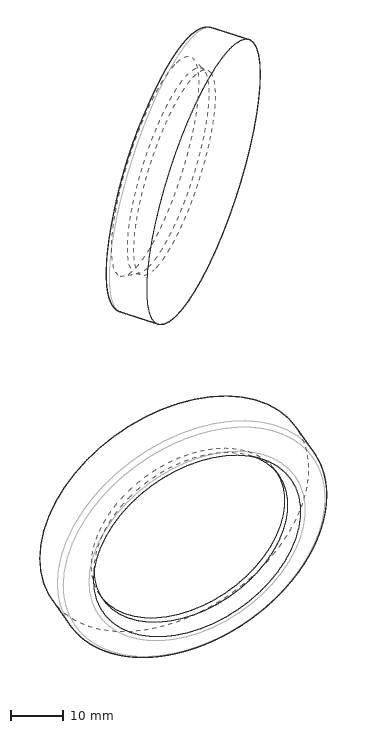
import cadquery as cq
import math

outer_radius = 28.5
thickness = 10.0

flat_rim_radius = 22.9
face_slope_degrees = 15.0
rim_fillet = 1.0
slope_depth = (outer_radius - flat_rim_radius) * math.tan(math.radians(face_slope_degrees))

recess_mouth_radius = 21.95
recess_floor_radius = 20.5
taper_depth = 2.7
recess_depth = 4.0


def make_disc():
    """Revolve the half section about X and round the outer front edge."""
    disc = (
        cq.Workplane("XY")
        .moveTo(0, 0)
        .lineTo(0, flat_rim_radius)
        .lineTo(slope_depth, outer_radius)
        .lineTo(thickness, outer_radius)
        .lineTo(thickness, 0)
        .close()
        .revolve(360, (0, 0, 0), (1, 0, 0))
    )
    rim_edge = cq.selectors.BoxSelector(
        (slope_depth - rim_fillet / 2, -outer_radius, -outer_radius),
        (slope_depth + rim_fillet / 2, outer_radius, outer_radius),
    )
    return disc.edges("%CIRCLE").edges(rim_edge).fillet(rim_fillet)


def make_recess():
    """Revolve the half section of the recess about X."""
    return (
        cq.Workplane("XY")
        .moveTo(0, 0)
        .lineTo(0, recess_mouth_radius)
        .lineTo(taper_depth, recess_floor_radius)
        .lineTo(recess_depth, recess_floor_radius)
        .lineTo(recess_depth, 0)
        .close()
        .revolve(360, (0, 0, 0), (1, 0, 0))
    )


result = make_disc().cut(make_recess())